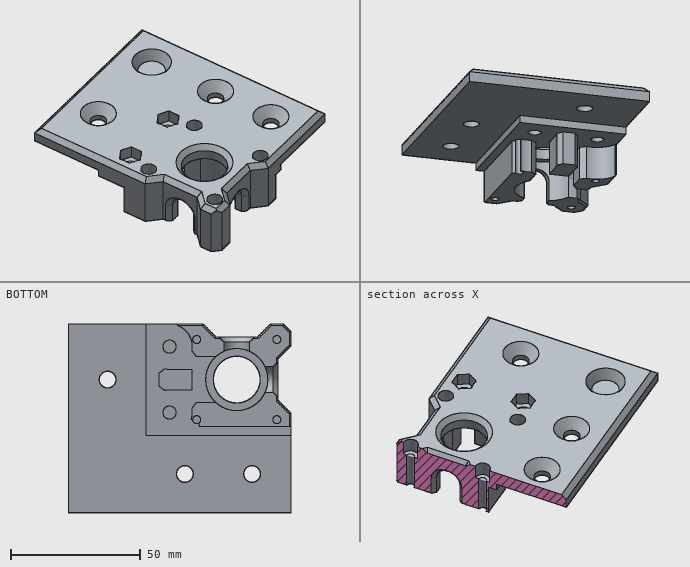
import cadquery as cq
import math

LENGTH = 86.0
WIDTH = 73.0
HEIGHT = 22.0
TOP_CHAMFER = 2.0
BOTTOM_CHAMFER = 0.7
CORNER_CUT = 3.0

PLATE_THICKNESS = 6.0
PAD_THICKNESS = 2.9
PAD_LEFT = 30.0
PAD_BACK = 43.0
HOUSING_LEFT = 42.05
HOUSING_BACK = 39.6
PLATE_BOTTOM = HEIGHT - PLATE_THICKNESS
PAD_BOTTOM = PLATE_BOTTOM - PAD_THICKNESS

MOTOR_X = 65.0
MOTOR_Y = 21.5
NOTCH_MOUTH_HALF = 13.0
NOTCH_FLOOR_HALF = 8.0
NOTCH_DEPTH = 5.0
NOTCH_FLOOR_X = LENGTH - NOTCH_DEPTH

BORE_DIAMETER = 18.0
LOWER_BORE_DIAMETER = 24.0
BORE_CHAMFER = 2.0

ARCH_RADIUS = 5.0
ARCH_SPRING_HEIGHT = 8.0
ARCH_CHAMFER = 2.0

SCREW_PITCH = 31.0
SCREW_HOLE_DIAMETER = 3.1
SCREW_HEAD_DIAMETER = 6.0
SCREW_HEAD_DEPTH = 6.0
WEB = 0.3

IDLER_X = 39.05
IDLER_OFFSET = 12.7
IDLER_Y = (MOTOR_Y - IDLER_OFFSET, MOTOR_Y + IDLER_OFFSET)
IDLER_CAVITY_RADIUS = 8.8
NUT_FLATS = 8.1
NUT_DEPTH = 5.2
IDLER_BOLT_DIAMETER = 5.1

CHANNEL_HALF = 8.9
CHANNEL_MOUTH_HALF = 11.1
CHANNEL_LEAD = 1.8
CHANNEL_LEFT = IDLER_X + math.sqrt(IDLER_CAVITY_RADIUS**2 - (IDLER_OFFSET - CHANNEL_MOUTH_HALF) ** 2)

POST_LEFT = 34.9
POST_NOSE_HALF = 2.4
POST_HALF = 4.2
POST_NOSE_LENGTH = 2.3

RELIEF_RADIUS = 2.2
RELIEF_OFFSET = 1.2

MOUNT_HOLES = [(15.1, 21.5), (45.0, 58.0), (70.95, 58.0)]
MOUNT_HOLE_DIAMETER = 6.4
COUNTERSINK_DIAMETER = 13.9
COUNTERSINK_ANGLE = 90
RECESS_CENTER = (15.05, 57.9)
RECESS_TOP_DIAMETER = 15.2
RECESS_FLOOR_DIAMETER = 10.6
RECESS_DEPTH = 4.2


def box(x_range, y_range, z_range):
    """Axis-aligned box between the given limits."""
    (x0, x1), (y0, y1), (z0, z1) = x_range, y_range, z_range
    return cq.Workplane("XY").box(x1 - x0, y1 - y0, z1 - z0, centered=False).translate((x0, y0, z0))


def prism(points, height):
    """Closed polygon extruded upward from the bottom plane."""
    return cq.Workplane("XY").polyline(points).close().extrude(height)


def cylinder(center, diameter, bottom, top):
    """Vertical cylinder between two levels."""
    return cq.Workplane("XY", origin=(*center, bottom)).circle(diameter / 2).extrude(top - bottom)


def make_block():
    """Full-height block with both notches and chamfered top, bottom and front right corner."""
    outline = [
        (0, 0),
        (MOTOR_X - NOTCH_MOUTH_HALF, 0),
        (MOTOR_X - NOTCH_FLOOR_HALF, NOTCH_DEPTH),
        (MOTOR_X + NOTCH_FLOOR_HALF, NOTCH_DEPTH),
        (MOTOR_X + NOTCH_MOUTH_HALF, 0),
        (LENGTH, 0),
        (LENGTH, MOTOR_Y - NOTCH_MOUTH_HALF),
        (NOTCH_FLOOR_X, MOTOR_Y - NOTCH_FLOOR_HALF),
        (NOTCH_FLOOR_X, MOTOR_Y + NOTCH_FLOOR_HALF),
        (LENGTH, MOTOR_Y + NOTCH_MOUTH_HALF),
        (LENGTH, WIDTH),
        (0, WIDTH),
    ]
    corner = [(LENGTH - CORNER_CUT, 0), (LENGTH, 0), (LENGTH, CORNER_CUT)]
    block = prism(outline, HEIGHT).faces(">Z").edges().chamfer(TOP_CHAMFER)
    block = block.cut(prism(corner, HEIGHT))
    return block.faces("<Z").edges().chamfer(BOTTOM_CHAMFER)


def keep_below(block, level, left, back):
    """Below a level, keep only the part of the block right of `left` and in front of `back`."""
    block = block.cut(box((0, left), (0, WIDTH), (0, level)))
    return block.cut(box((0, LENGTH), (back, WIDTH), (0, level)))


def make_belt_space():
    """Idler cavities and the belt channel leading from them into the bore."""
    channel = [
        (CHANNEL_LEFT, MOTOR_Y - CHANNEL_MOUTH_HALF),
        (CHANNEL_LEFT + CHANNEL_LEAD, MOTOR_Y - CHANNEL_HALF),
        (MOTOR_X, MOTOR_Y - CHANNEL_HALF),
        (MOTOR_X, MOTOR_Y + CHANNEL_HALF),
        (CHANNEL_LEFT + CHANNEL_LEAD, MOTOR_Y + CHANNEL_HALF),
        (CHANNEL_LEFT, MOTOR_Y + CHANNEL_MOUTH_HALF),
    ]
    space = prism(channel, PAD_BOTTOM)
    space = space.union(box((IDLER_X, CHANNEL_LEFT), IDLER_Y, (0, PAD_BOTTOM)))
    for y in IDLER_Y:
        space = space.union(cylinder((IDLER_X, y), 2 * IDLER_CAVITY_RADIUS, 0, PAD_BOTTOM))
    return space


def make_post():
    """Post with a tapered nose, hollowed on both sides by the idler cavities."""
    shoulder = POST_LEFT + POST_NOSE_LENGTH
    side = IDLER_OFFSET - IDLER_CAVITY_RADIUS
    outline = [
        (POST_LEFT, MOTOR_Y - POST_NOSE_HALF),
        (shoulder, MOTOR_Y - POST_HALF),
        (IDLER_X, MOTOR_Y - POST_HALF),
        (IDLER_X, MOTOR_Y - side),
        (CHANNEL_LEFT, MOTOR_Y - side),
        (CHANNEL_LEFT, MOTOR_Y + side),
        (IDLER_X, MOTOR_Y + side),
        (IDLER_X, MOTOR_Y + POST_HALF),
        (shoulder, MOTOR_Y + POST_HALF),
        (POST_LEFT, MOTOR_Y + POST_NOSE_HALF),
    ]
    post = prism(outline, PAD_BOTTOM)
    for y in IDLER_Y:
        post = post.cut(cylinder((IDLER_X, y), 2 * IDLER_CAVITY_RADIUS, 0, PAD_BOTTOM))
    return post


def make_corner_relief():
    """Cut beside the back left motor screw, with a rounded hollow at the housing's back face."""
    screw_x = MOTOR_X - SCREW_PITCH / 2
    screw_y = MOTOR_Y + SCREW_PITCH / 2
    relief = box((HOUSING_LEFT, screw_x), (screw_y, HOUSING_BACK), (0, PAD_BOTTOM))
    hollow_center = (screw_x - RELIEF_OFFSET, HOUSING_BACK)
    return relief.union(cylinder(hollow_center, 2 * RELIEF_RADIUS, 0, PAD_BOTTOM))


def make_bore():
    """Bore on the motor axis, wider below the plate and chamfered at the top."""
    center = (MOTOR_X, MOTOR_Y)
    bore = cylinder(center, BORE_DIAMETER, 0, HEIGHT)
    bore = bore.union(cylinder(center, LOWER_BORE_DIAMETER, 0, PLATE_BOTTOM))
    radius = BORE_DIAMETER / 2
    cone = cq.Solid.makeCone(
        radius, radius + BORE_CHAMFER, BORE_CHAMFER, pnt=cq.Vector(*center, HEIGHT - BORE_CHAMFER)
    )
    return bore.union(cq.Workplane(cone))


def draw_arch(plane, radius):
    """Round-topped arch standing on the bottom plane."""
    return (
        plane.moveTo(-radius, 0)
        .lineTo(-radius, ARCH_SPRING_HEIGHT)
        .threePointArc((0, ARCH_SPRING_HEIGHT + radius), (radius, ARCH_SPRING_HEIGHT))
        .lineTo(radius, 0)
        .close()
    )


def make_front_arch():
    """Window from the front notch floor to the motor axis, widened at its mouth."""
    mouth = cq.Workplane("XZ", origin=(MOTOR_X, NOTCH_DEPTH, 0))
    window = draw_arch(mouth, ARCH_RADIUS).extrude(NOTCH_DEPTH - MOTOR_Y)
    flare = draw_arch(mouth, ARCH_RADIUS + ARCH_CHAMFER)
    flare = draw_arch(flare.workplane(offset=-ARCH_CHAMFER), ARCH_RADIUS).loft(ruled=True)
    return window.union(flare)


def make_right_arch():
    """The same window turned to face the right notch."""
    turned = make_front_arch().rotate((MOTOR_X, MOTOR_Y, 0), (MOTOR_X, MOTOR_Y, 1), 90)
    front_reach = MOTOR_Y - NOTCH_DEPTH
    right_reach = NOTCH_FLOOR_X - MOTOR_X
    return turned.translate((right_reach - front_reach, 0, 0))


def cut_motor_screws(body):
    """Four counterbored motor screw holes around the bore."""
    head_floor = HEIGHT - SCREW_HEAD_DEPTH
    for x in (MOTOR_X - SCREW_PITCH / 2, MOTOR_X + SCREW_PITCH / 2):
        for y in (MOTOR_Y - SCREW_PITCH / 2, MOTOR_Y + SCREW_PITCH / 2):
            body = body.cut(cylinder((x, y), SCREW_HEAD_DIAMETER, head_floor, HEIGHT))
            body = body.cut(cylinder((x, y), SCREW_HOLE_DIAMETER, 0, head_floor - WEB))
    return body


def cut_idler_bolts(body):
    """Nut pockets from above and bolt holes from below on the idler axes."""
    nut_floor = HEIGHT - NUT_DEPTH
    nut_corners = NUT_FLATS / math.cos(math.pi / 6)
    for y in IDLER_Y:
        nut = cq.Workplane("XY", origin=(IDLER_X, y, nut_floor)).polygon(6, nut_corners).extrude(NUT_DEPTH)
        body = body.cut(nut)
        body = body.cut(cylinder((IDLER_X, y), IDLER_BOLT_DIAMETER, PAD_BOTTOM, nut_floor - WEB))
    return body


def cut_mount_holes(body):
    """Countersunk through holes in the plate."""
    top = cq.Workplane("XY", origin=(0, 0, HEIGHT)).add(body.val())
    return top.pushPoints(MOUNT_HOLES).cskHole(MOUNT_HOLE_DIAMETER, COUNTERSINK_DIAMETER, COUNTERSINK_ANGLE)


def make_recess():
    """Flat-floored recess with a conical side."""
    floor_center = cq.Vector(*RECESS_CENTER, HEIGHT - RECESS_DEPTH)
    cone = cq.Solid.makeCone(
        RECESS_FLOOR_DIAMETER / 2, RECESS_TOP_DIAMETER / 2, RECESS_DEPTH, pnt=floor_center
    )
    return cq.Workplane(cone)


body = make_block()
body = keep_below(body, PLATE_BOTTOM, PAD_LEFT, PAD_BACK)
body = keep_below(body, PAD_BOTTOM, HOUSING_LEFT, HOUSING_BACK)
body = body.cut(make_belt_space()).cut(make_corner_relief())
body = body.union(make_post())
body = body.cut(make_bore()).cut(make_front_arch()).cut(make_right_arch())
body = cut_motor_screws(body)
body = cut_idler_bolts(body)
body = cut_mount_holes(body)
result = body.cut(make_recess())